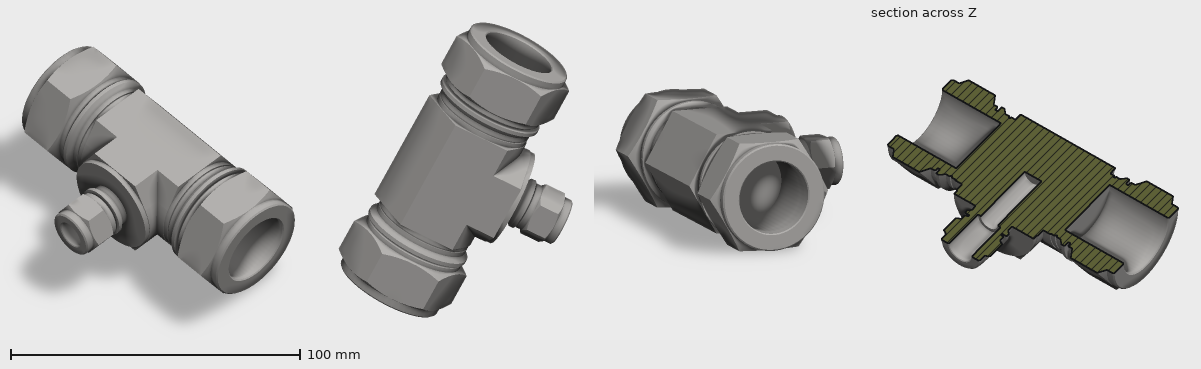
import cadquery as cq
import math

run_length = 98.1
run_end = run_length / 2
branch_end = 42.1

body_flats = 35.1
body_half_length = 20.6
branch_body_end = 20.8
branch_disc_end = 22.7
branch_disc_diameter = 34.5

run_nut_flats = 38.1
run_ring_diameter = 37.8
run_nut_front_inset = 3.0
run_nut_rear_inset = 18.5
run_band_diameter = 36.5
run_band_inset = 20.4
run_neck_diameter = 33.35
run_collar_diameter = 38.0
run_collar_front_inset = 21.3
run_collar_rear_inset = 22.7
run_shank_diameter = 34.5
run_shank_front_inset = 24.3
run_groove_front_inset = 26.1
run_groove_width = 0.6
run_bore_diameter = 25.6
run_bore_depth = 25.5
run_edge_chamfer = 0.5
run_bore_chamfer = 0.4

branch_nut_flats = 17.5
branch_ring_diameter = 16.8
branch_nut_front_inset = 3.0
branch_nut_rear_inset = 12.0
branch_band_inset = 14.1
branch_neck_diameter = 14.3
branch_collar_diameter = 18.2
branch_collar_front_inset = 14.7
branch_collar_rear_inset = 16.1
branch_shank_diameter = 15.8
branch_shank_front_inset = 17.4
branch_socket_diameter = 9.7
branch_socket_depth = 16.8
branch_bore_diameter = 7.2
branch_edge_chamfer = 0.5
branch_bore_chamfer = 0.3

nut_chamfer_angle = math.radians(30)
band_chamfer = 0.3


def hex_prism(flats, bottom, top):
    """Hexagonal prism along Z with corners on the X axis."""
    corner_diameter = flats / math.cos(math.pi / 6)
    return cq.Workplane("XY").workplane(offset=bottom).polygon(6, corner_diameter).extrude(top - bottom)


def turned(profile):
    """Solid of revolution about Z from (radius, height) points; the axis closes the outline."""
    outline = [(0, profile[0][1])] + profile + [(0, profile[-1][1])]
    return cq.Workplane("XZ").polyline(outline).close().revolve(360, (0, 0, 0), (0, 1, 0))


def hex_nut(flats, bottom, top, bottom_diameter, top_diameter):
    """Hexagonal nut along Z whose corners are turned off conically at both ends."""
    corner_radius = flats / 2 / math.cos(math.pi / 6)
    bottom_rise = (corner_radius - bottom_diameter / 2) * math.tan(nut_chamfer_angle)
    top_drop = (corner_radius - top_diameter / 2) * math.tan(nut_chamfer_angle)
    cone_envelope = turned([
        (bottom_diameter / 2, bottom),
        (corner_radius, bottom + bottom_rise),
        (corner_radius, top - top_drop),
        (top_diameter / 2, top),
    ])
    return hex_prism(flats, bottom, top).intersect(cone_envelope)


def blind_hole(diameter, end, depth, chamfer):
    """Blind round hole entering at height `end`, with a chamfered mouth."""
    radius = diameter / 2
    return turned([
        (radius, end - depth),
        (radius, end - chamfer),
        (radius + chamfer, end),
    ])


def stepped_shaft(sections, end, chamfer):
    """Turned shaft along Z from (diameter, start, stop) sections, chamfered at its end.

    Where one section stops short of the next start, a cone joins the two. A section of
    zero length is the foot of such a cone.
    """
    profile = []
    for diameter, start, stop in sections:
        profile.append((diameter / 2, start))
        if stop > start:
            profile.append((diameter / 2, stop))
    tip_radius = profile.pop()[0]
    profile += [(tip_radius, end - chamfer), (tip_radius - chamfer, end)]
    return turned(profile)


def run_port():
    """Run port along +Z, starting at the tee centre."""
    collar_front = run_end - run_collar_front_inset
    groove_outer = run_end - run_groove_front_inset
    groove_inner = groove_outer - run_groove_width
    band_start = run_end - run_band_inset
    nut_bottom = run_end - run_nut_rear_inset
    nut_top = run_end - run_nut_front_inset
    sections = [
        (run_shank_diameter, 0, groove_inner),
        (run_neck_diameter, groove_inner, groove_outer),
        (run_shank_diameter, groove_outer, run_end - run_shank_front_inset),
        (run_collar_diameter, run_end - run_collar_rear_inset, collar_front),
        (run_neck_diameter, collar_front, band_start),
        (run_band_diameter - 2 * band_chamfer, band_start, band_start),
        (run_band_diameter, band_start + band_chamfer, nut_bottom),
        (run_ring_diameter, nut_top, run_end),
    ]
    shaft = stepped_shaft(sections, run_end, run_edge_chamfer)
    nut = hex_nut(run_nut_flats, nut_bottom, nut_top, run_band_diameter, run_ring_diameter)
    return shaft.union(nut)


def branch_port():
    """Branch port along +Z, starting at the tee centre."""
    collar_front = branch_end - branch_collar_front_inset
    band_start = branch_end - branch_band_inset
    nut_bottom = branch_end - branch_nut_rear_inset
    nut_top = branch_end - branch_nut_front_inset
    sections = [
        (branch_disc_diameter, 0, branch_disc_end),
        (branch_shank_diameter, branch_disc_end, branch_end - branch_shank_front_inset),
        (branch_collar_diameter, branch_end - branch_collar_rear_inset, collar_front),
        (branch_neck_diameter, collar_front, band_start),
        (branch_ring_diameter - 2 * band_chamfer, band_start, band_start),
        (branch_ring_diameter, band_start + band_chamfer, branch_end),
    ]
    shaft = stepped_shaft(sections, branch_end, branch_edge_chamfer)
    nut = hex_nut(branch_nut_flats, nut_bottom, nut_top, branch_ring_diameter, branch_ring_diameter)
    return shaft.union(nut)


def toward_run(shape, side):
    """Turn a shape along Z onto the X axis (side +1 or -1), its X corners onto Y."""
    return shape.rotate((0, 0, 0), (0, 0, 1), 90).rotate((0, 0, 0), (0, 1, 0), 90 * side)


def toward_branch(shape):
    """Turn a shape along +Z onto the -Y direction, keeping its X corners on X."""
    return shape.rotate((0, 0, 0), (1, 0, 0), 90)


def body_bar(bottom, top, both_rounded):
    """Hexagonal bar along Z with flats on +Y and -Y.

    The corner on -X is rounded tangent to its flats, the one on +X only if both_rounded is set.
    """
    half_flats = body_flats / 2
    half_side = half_flats * math.tan(math.pi / 6)
    tangent_x = half_flats * math.cos(math.pi / 6)
    tangent_y = half_flats * math.sin(math.pi / 6)
    outline = (
        cq.Workplane("XY")
        .workplane(offset=bottom)
        .moveTo(half_side, -half_flats)
        .lineTo(-half_side, -half_flats)
        .lineTo(-tangent_x, -tangent_y)
        .threePointArc((-half_flats, 0), (-tangent_x, tangent_y))
        .lineTo(-half_side, half_flats)
        .lineTo(half_side, half_flats)
    )
    if both_rounded:
        outline = outline.lineTo(tangent_x, tangent_y).threePointArc((half_flats, 0), (tangent_x, -tangent_y))
    else:
        outline = outline.lineTo(2 * half_side, 0)
    return outline.close().extrude(top - bottom)


run_body = toward_run(body_bar(-body_half_length, body_half_length, False), 1)
branch_body = toward_branch(body_bar(0, branch_body_end, True))
result = run_body.union(branch_body)
result = result.union(toward_branch(branch_port()))
for side in (1, -1):
    result = result.union(toward_run(run_port(), side))

run_socket = blind_hole(run_bore_diameter, run_end, run_bore_depth, run_bore_chamfer)
for side in (1, -1):
    result = result.cut(toward_run(run_socket, side))

branch_socket = blind_hole(branch_socket_diameter, branch_end, branch_socket_depth, branch_bore_chamfer)
branch_bore = turned([(branch_bore_diameter / 2, 0), (branch_bore_diameter / 2, branch_end)])
result = result.cut(toward_branch(branch_socket.union(branch_bore)))